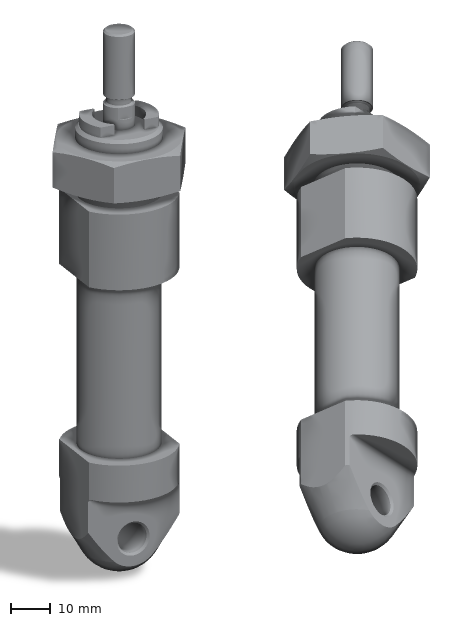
import cadquery as cq
import math


EYE_RADIUS = 11.0
OVERALL_LENGTH = 146.0
ROD_TIP_Z = OVERALL_LENGTH - EYE_RADIUS
NECK_TOP_Z = ROD_TIP_Z - 17.5
NECK_BOTTOM_Z = ROD_TIP_Z - 19.8
WRENCH_FLAT_BOTTOM_Z = ROD_TIP_Z - 23.0
TAB_TOP_Z = ROD_TIP_Z - 23.0
COLLAR_TOP_Z = ROD_TIP_Z - 25.8
NUT_TOP_Z = ROD_TIP_Z - 29.3
NUT_HEIGHT = 11.0
FRONT_HEAD_TOP_Z = ROD_TIP_Z - 44.0
FRONT_HEAD_BOTTOM_Z = ROD_TIP_Z - 64.5
REAR_HEAD_TOP_Z = ROD_TIP_Z - 112.0
REAR_HEAD_SHOULDER_Z = ROD_TIP_Z - 122.0

ROD_DIAMETER = 8.0
ROD_TIP_CHAMFER = 0.5
NECK_DIAMETER = 6.4
NECK_CHAMFER = 0.4
WRENCH_FLAT_WIDTH = 7.0

TUBE_DIAMETER = 21.3
HEAD_RADIUS = 15.1
HEAD_FRONT_FLAT_Y = -12.5
HEAD_BACK_FLAT_Y = 13.3
COLLAR_DIAMETER = 22.0
COLLAR_TOP_DIAMETER = 20.38
COLLAR_CHAMFER = (COLLAR_DIAMETER - COLLAR_TOP_DIAMETER) / 2

TAB_OUTER_DIAMETER = 20.0
TAB_INNER_RADIUS = 6.8
TAB_WIDTH = 12.0
TAB_GAP = 8.4

EYE_WIDTH = 16.2
EYE_CONE_HALF_ANGLE = math.radians(30)
EYE_FILLET = 0.8
CROSS_HOLE_DIAMETER = 8.0
CROSS_HOLE_MOUTH_DIAMETER = 9.14

NUT_ACROSS_FLATS = 32.0
NUT_ACROSS_CORNERS = NUT_ACROSS_FLATS / math.cos(math.radians(30))
NUT_CHAMFER_DIAMETER = 31.6
NUT_CHAMFER_ANGLE = math.radians(15)


def cylinder(diameter, bottom_z, top_z):
    return cq.Workplane("XY", origin=(0, 0, bottom_z)).circle(diameter / 2).extrude(top_z - bottom_z)


def block(x_range, y_range, z_range):
    """Box between the given limits along X, Y and Z."""
    sizes = [high - low for low, high in (x_range, y_range, z_range)]
    corner = (x_range[0], y_range[0], z_range[0])
    return cq.Workplane("XY").box(*sizes, centered=False).translate(corner)


def head(bottom_z, top_z):
    """Round head with one flat at the front and a shallower one at the back."""
    between_flats = block(
        (-HEAD_RADIUS, HEAD_RADIUS), (HEAD_FRONT_FLAT_Y, HEAD_BACK_FLAT_Y), (bottom_z, top_z)
    )
    return cylinder(2 * HEAD_RADIUS, bottom_z, top_z).intersect(between_flats)


def rounded_end():
    """Turned envelope of the rear head: a spherical tip that runs into a cone and a cylinder."""
    tangent_r = EYE_RADIUS * math.cos(EYE_CONE_HALF_ANGLE)
    tangent_z = -EYE_RADIUS * math.sin(EYE_CONE_HALF_ANGLE)
    arc_middle_angle = (math.pi / 2 + EYE_CONE_HALF_ANGLE) / 2
    arc_middle = (EYE_RADIUS * math.cos(arc_middle_angle), -EYE_RADIUS * math.sin(arc_middle_angle))
    cone_top_z = tangent_z + (HEAD_RADIUS - tangent_r) / math.tan(EYE_CONE_HALF_ANGLE)
    return (
        cq.Workplane("XZ")
        .moveTo(0, -EYE_RADIUS)
        .threePointArc(arc_middle, (tangent_r, tangent_z))
        .lineTo(HEAD_RADIUS, cone_top_z)
        .lineTo(HEAD_RADIUS, REAR_HEAD_TOP_Z)
        .lineTo(0, REAR_HEAD_TOP_Z)
        .close()
        .revolve(360, (0, 0, 0), (0, 1, 0))
    )


def eye_profile():
    """Head with the eye below it, seen along Y, with fillets under the shoulders."""
    half_eye = EYE_WIDTH / 2
    outline = (
        cq.Workplane("XZ", origin=(0, HEAD_RADIUS, 0))
        .moveTo(-half_eye, -EYE_RADIUS)
        .lineTo(half_eye, -EYE_RADIUS)
        .lineTo(half_eye, REAR_HEAD_SHOULDER_Z - EYE_FILLET)
        .radiusArc((half_eye + EYE_FILLET, REAR_HEAD_SHOULDER_Z), EYE_FILLET)
        .lineTo(HEAD_RADIUS, REAR_HEAD_SHOULDER_Z)
        .lineTo(HEAD_RADIUS, REAR_HEAD_TOP_Z)
        .lineTo(-HEAD_RADIUS, REAR_HEAD_TOP_Z)
        .lineTo(-HEAD_RADIUS, REAR_HEAD_SHOULDER_Z)
        .lineTo(-half_eye - EYE_FILLET, REAR_HEAD_SHOULDER_Z)
        .radiusArc((-half_eye, REAR_HEAD_SHOULDER_Z - EYE_FILLET), EYE_FILLET)
        .close()
    )
    return outline.extrude(2 * HEAD_RADIUS)


def cross_hole():
    """Hole along X through the eye, with a small chamfer at each mouth."""
    half_eye = EYE_WIDTH / 2
    hole_radius = CROSS_HOLE_DIAMETER / 2
    mouth_radius = CROSS_HOLE_MOUTH_DIAMETER / 2
    chamfer = mouth_radius - hole_radius
    return (
        cq.Workplane("XY")
        .moveTo(-half_eye, 0)
        .lineTo(-half_eye, mouth_radius)
        .lineTo(-half_eye + chamfer, hole_radius)
        .lineTo(half_eye - chamfer, hole_radius)
        .lineTo(half_eye, mouth_radius)
        .lineTo(half_eye, 0)
        .close()
        .revolve(360, (0, 0, 0), (1, 0, 0))
    )


def rear_head():
    blank = head(-EYE_RADIUS, REAR_HEAD_TOP_Z)
    return blank.intersect(rounded_end()).intersect(eye_profile()).cut(cross_hole())


def collar_tabs():
    """Two arc-shaped tabs facing each other across the rod."""
    tab_height = TAB_TOP_Z - COLLAR_TOP_Z
    ring = (
        cq.Workplane("XY", origin=(0, 0, COLLAR_TOP_Z))
        .circle(TAB_OUTER_DIAMETER / 2)
        .circle(TAB_INNER_RADIUS)
        .extrude(tab_height)
    )
    strip = block(
        (-TAB_WIDTH / 2, TAB_WIDTH / 2),
        (-TAB_OUTER_DIAMETER / 2, TAB_OUTER_DIAMETER / 2),
        (COLLAR_TOP_Z, TAB_TOP_Z),
    )
    gap = block(
        (-TAB_WIDTH / 2, TAB_WIDTH / 2), (-TAB_GAP / 2, TAB_GAP / 2), (COLLAR_TOP_Z, TAB_TOP_Z)
    )
    return ring.intersect(strip).cut(gap)


def make_housing():
    collar = cylinder(COLLAR_DIAMETER, FRONT_HEAD_TOP_Z, COLLAR_TOP_Z)
    collar = collar.faces(">Z").chamfer(COLLAR_CHAMFER)
    tube = cylinder(TUBE_DIAMETER, REAR_HEAD_TOP_Z, FRONT_HEAD_BOTTOM_Z)
    front_head = head(FRONT_HEAD_BOTTOM_Z, FRONT_HEAD_TOP_Z)
    return rear_head().union(tube).union(front_head).union(collar).union(collar_tabs())


def make_rod():
    """Rod standing on the collar: threaded end, neck, and a shank with two wrench flats."""
    rod_radius = ROD_DIAMETER / 2
    neck_radius = NECK_DIAMETER / 2
    turned = (
        cq.Workplane("XZ")
        .moveTo(0, COLLAR_TOP_Z)
        .lineTo(rod_radius, COLLAR_TOP_Z)
        .lineTo(rod_radius, NECK_BOTTOM_Z)
        .lineTo(neck_radius + NECK_CHAMFER, NECK_BOTTOM_Z)
        .lineTo(neck_radius, NECK_BOTTOM_Z + NECK_CHAMFER)
        .lineTo(neck_radius, NECK_TOP_Z - NECK_CHAMFER)
        .lineTo(neck_radius + NECK_CHAMFER, NECK_TOP_Z)
        .lineTo(rod_radius, NECK_TOP_Z)
        .lineTo(rod_radius, ROD_TIP_Z - ROD_TIP_CHAMFER)
        .lineTo(rod_radius - ROD_TIP_CHAMFER, ROD_TIP_Z)
        .lineTo(0, ROD_TIP_Z)
        .close()
        .revolve(360, (0, 0, 0), (0, 1, 0))
    )
    flat_x = WRENCH_FLAT_WIDTH / 2
    for x_range in ((-rod_radius, -flat_x), (flat_x, rod_radius)):
        flat = block(x_range, (-rod_radius, rod_radius), (WRENCH_FLAT_BOTTOM_Z, NECK_BOTTOM_Z))
        turned = turned.cut(flat)
    return turned


def make_nut():
    """Hexagon nut on the collar, with corners along Y and both ends chamfered."""
    bottom_z = NUT_TOP_Z - NUT_HEIGHT
    corner_radius = NUT_ACROSS_CORNERS / 2
    chamfer_radius = NUT_CHAMFER_DIAMETER / 2
    chamfer_height = (corner_radius - chamfer_radius) * math.tan(NUT_CHAMFER_ANGLE)
    hexagon = (
        cq.Workplane("XY", origin=(0, 0, bottom_z))
        .transformed(rotate=(0, 0, 90))
        .polygon(6, NUT_ACROSS_CORNERS)
        .extrude(NUT_HEIGHT)
    )
    chamfered_envelope = (
        cq.Workplane("XZ")
        .moveTo(0, bottom_z)
        .lineTo(chamfer_radius, bottom_z)
        .lineTo(corner_radius, bottom_z + chamfer_height)
        .lineTo(corner_radius, NUT_TOP_Z - chamfer_height)
        .lineTo(chamfer_radius, NUT_TOP_Z)
        .lineTo(0, NUT_TOP_Z)
        .close()
        .revolve(360, (0, 0, 0), (0, 1, 0))
    )
    thread_bore = cylinder(COLLAR_DIAMETER, bottom_z, NUT_TOP_Z)
    return hexagon.intersect(chamfered_envelope).cut(thread_bore)


housing = make_housing()
rod = make_rod()
nut = make_nut()
result = cq.Compound.makeCompound([housing.val(), rod.val(), nut.val()])